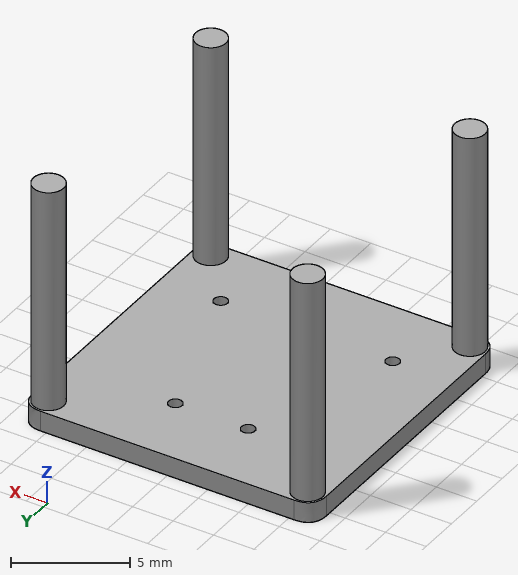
import cadquery as cq

plate_side = 14.5
corner_count = 4
plate_thickness = 1.0
corner_setback = 0.99
corner_fullness = 0.66

total_height = 12.0
post_diameter = 1.5
post_spacing = 12.8

hole_diameter = 0.65
rear_hole_spacing = 3.6
front_hole_spacing = 8.5
hole_row_spacing = 7.5


def make_plate():
    """Square plate standing on Z = 0, its corners rounded by curves tangent to the sides."""
    side = plate_side / 2
    start = side - corner_setback
    handle = start + corner_fullness * corner_setback
    corner = [(side, start), (side, handle), (handle, side), (start, side)]
    outline = cq.Workplane("XY").moveTo(side, -start)
    for _ in range(corner_count):
        outline = outline.lineTo(*corner[0]).bezier(corner)
        corner = [(-y, x) for x, y in corner]
    return outline.close().extrude(plate_thickness)


def make_posts():
    """Four round posts, running from the plate underside to the full height."""
    corners = cq.Workplane("XY").rect(post_spacing, post_spacing, forConstruction=True).vertices()
    return corners.circle(post_diameter / 2).extrude(total_height)


def make_holes():
    """Cutters for the two pairs of through holes, symmetric about X = 0."""
    row_y = hole_row_spacing / 2
    centres = []
    for spacing, y in ((rear_hole_spacing, row_y), (front_hole_spacing, -row_y)):
        centres += [(-spacing / 2, y), (spacing / 2, y)]
    return cq.Workplane("XY").pushPoints(centres).circle(hole_diameter / 2).extrude(plate_thickness)


result = make_plate().union(make_posts()).cut(make_holes())